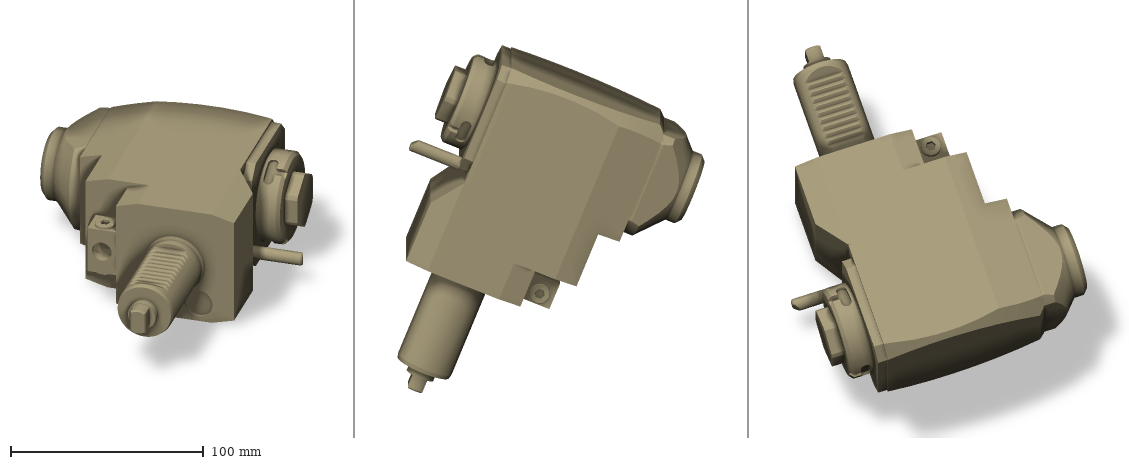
import cadquery as cq
import math


half_height = 32.0
taper_angle = 15
taper_run = 12.0
lower_half_width = 32.0
lower_block_y = 21.0
middle_left = -55.0
middle_bottom_y = 50.8
upper_left = -67.0
upper_right = 19.8
housing_top = 115.0
corner_chamfer = 3.5
shoulder_y = 33.5
relief_width = 2.4
relief_depth = 0.2
crown_x = -13.1
crown_radius = 127.4
crown_y = 112.3
plug_recess_radius = 7.6
plug_recess_depth = 1.8
plug_recess_x, plug_recess_z = 12.7, -21.7

spindle_y = 85.0
cap_left = -94.0
cap_radius = 19.3
cap_face_radius = 16.5
cap_chamfer_length = 2.5
cap_shoulder = -86.3
cone_end = -73.3
knob_radius = 33.3
knob_top = 111.2
knob_half_height = 25.1
flange_right = 25.0
flange_half_width = 29.5
flange_half_height = 30.4
flange_chamfer = 7.0
nut_left = 25.8
nut_right = 38.0
nut_radius = 24.5
nut_chamfer = 1.8
nut_neck_radius = 23.0
nut_pockets = 3
pocket_x = 29.8
pocket_width = 5.5
pocket_length = 15.3
pocket_depth = 3.0
slit_width = 4.0
hex_right = 44.8
hex_flats = 27.7
hex_corner_radius = 15.3

pin_y, pin_z = 56.6, -19.0
pin_radius = 3.5
pin_neck_radius = 2.7
pin_right = 52.5
pin_chamfer = 0.7
pin_bevel = 3.5

block_left = -47.9
block_bottom, block_top = 1.1, 15.8
block_half_height = 12.7
port_x = -40.0
screw_y = 7.1
screw_radius = 5.3
screw_height = 1.6
screw_chamfer = 0.4
socket_size = 5.5
socket_depth = 2.7
side_port_radius = 4.7
front_port_radius = 5.3
front_port_depth = 12.4
side_bore_radius = 1.1
side_bore_depth = 14.5

shank_diameter = 30.0
shank_radius = shank_diameter / 2
shank_end = -55.0
shank_chamfer = 2.2
shank_chamfer_depth = 0.5
collar_radius = 16.0
collar_length = 1.1
collar_taper_end = 2.2
neck_radius = 7.5
neck_end = -59.5
tang_end = -67.0
tang_thickness = 8.2
tang_radius = 7.1
tang_chamfer = 0.7
rack_start = -7.1
rack_height = 12.2
tooth_depth = 1.6
tooth_pitch = 4.0
tooth_count = 10
first_valley = -11.5


def taper_drop(run):
    return run * math.tan(math.radians(taper_angle))


def cylinder_x(x_start, x_end, radius, y, z):
    return cq.Workplane("YZ", origin=(x_start, y, z)).circle(radius).extrude(x_end - x_start)


def box_between(x_range, y_range, z_range):
    ranges = (x_range, y_range, z_range)
    sizes = [end - start for start, end in ranges]
    corner = tuple(start for start, end in ranges)
    return cq.Workplane("XY").box(*sizes, centered=False).translate(corner)


def flanked_bar(left, left_break, right_break, right, y_start, y_end):
    """Bar along Y, full height between the breaks and tapered outside them."""
    left_z = half_height - taper_drop(left_break - left)
    right_z = half_height - taper_drop(right - right_break)
    outline = [
        (left, left_z), (left_break, half_height), (right_break, half_height), (right, right_z),
        (right, -right_z), (right_break, -half_height), (left_break, -half_height), (left, -left_z),
    ]
    return cq.Workplane("XZ", origin=(0, y_start, 0)).polyline(outline).close().extrude(y_start - y_end)


def crown_cone():
    """45 degree cone along Y that bevels the top edge of the +Z face along an arc."""
    base_radius = crown_radius + crown_y
    tip_radius = crown_radius + crown_y - housing_top
    cone = (
        cq.Workplane("XY")
        .polyline([(0, 0), (base_radius, 0), (tip_radius, housing_top), (0, housing_top)])
        .close()
        .revolve(360, (0, 0, 0), (0, 1, 0))
    )
    return cone.translate((crown_x, 0, half_height - crown_radius))


def housing():
    break_x = lower_half_width - taper_run
    upper_break = middle_left + taper_run
    upper_plan = [
        (middle_left, lower_block_y), (lower_half_width, lower_block_y),
        (lower_half_width, shoulder_y), (upper_right, middle_bottom_y),
        (upper_right, housing_top), (upper_left + corner_chamfer, housing_top),
        (upper_left, housing_top - corner_chamfer), (upper_left, middle_bottom_y),
        (middle_left, middle_bottom_y),
    ]
    plan = cq.Workplane("XY").polyline(upper_plan).close().extrude(half_height, both=True)
    upper = flanked_bar(upper_left, upper_break, break_x, lower_half_width, lower_block_y, housing_top)
    cone = crown_cone()
    upper = upper.intersect(plan).intersect(cone).intersect(cone.mirror("XY"))
    relief = (
        cq.Workplane("XZ", origin=(0, middle_bottom_y, 0))
        .polyline([
            (upper_right - relief_width, half_height), (upper_right, half_height - relief_depth),
            (upper_right, half_height),
        ])
        .close()
        .extrude(middle_bottom_y - housing_top)
    )
    upper = upper.cut(relief).cut(relief.mirror("XY"))
    lower = flanked_bar(-lower_half_width, -break_x, break_x, lower_half_width, 0, lower_block_y)
    recess = (
        cq.Workplane("XZ", origin=(plug_recess_x, 0, plug_recess_z))
        .circle(plug_recess_radius)
        .extrude(-plug_recess_depth)
    )
    return upper.union(lower).cut(recess)


def rear_knob():
    """Turned cap and cone, trimmed by the continued housing flanks."""
    knob = (
        cq.Workplane("XY")
        .polyline([
            (cap_shoulder, 0), (cap_shoulder, cap_radius), (cone_end, knob_radius),
            (upper_left, knob_radius), (upper_left, 0),
        ])
        .close()
        .revolve(360, (0, 0, 0), (1, 0, 0))
        .translate((0, spindle_y, 0))
    )
    flanks = flanked_bar(
        cap_shoulder, middle_left + taper_run, 0, taper_run, spindle_y - knob_radius, knob_top
    )
    flat = box_between(
        (cap_shoulder, upper_left), (spindle_y - knob_radius, knob_top), (-knob_half_height, knob_half_height)
    )
    cap = (
        cylinder_x(cap_left, cap_shoulder, cap_radius, spindle_y, 0)
        .faces("<X").chamfer(cap_chamfer_length, cap_radius - cap_face_radius)
    )
    return knob.intersect(flanks).intersect(flat).union(cap)


def spindle_nose():
    flange = (
        cq.Workplane("YZ", origin=(upper_right, spindle_y, 0))
        .rect(2 * flange_half_width, 2 * flange_half_height)
        .extrude(flange_right - upper_right)
        .edges("|X").chamfer(flange_chamfer)
    )
    neck = cylinder_x(flange_right, nut_left, nut_neck_radius, spindle_y, 0)
    nut = cylinder_x(nut_left, nut_right, nut_radius, spindle_y, 0).faces(">X").edges().chamfer(nut_chamfer)
    pocket_floor = nut_radius - pocket_depth
    pocket = (
        cq.Workplane("XZ", origin=(pocket_x, spindle_y + pocket_floor, 0))
        .slot2D(pocket_length, pocket_width, 90)
        .extrude(-nut_radius)
    )
    slit = box_between(
        (pocket_x, nut_right), (pocket_floor, nut_radius), (-slit_width / 2, slit_width / 2)
    ).translate((0, spindle_y, 0))
    for index in range(nut_pockets):
        angle = index * 360 / nut_pockets
        nut = nut.cut(pocket.union(slit).rotate((0, spindle_y, 0), (1, spindle_y, 0), angle))
    hexagon = (
        cq.Workplane("YZ", origin=(nut_right, spindle_y, 0))
        .polygon(6, hex_flats, circumscribed=True)
        .extrude(hex_right - nut_right)
        .intersect(cylinder_x(nut_right, hex_right, hex_corner_radius, spindle_y, 0))
    )
    return flange.union(neck).union(nut).union(hexagon)


def locating_pin():
    neck = cylinder_x(upper_right, flange_right, pin_neck_radius, pin_y, pin_z)
    pin = cylinder_x(flange_right, pin_right, pin_radius, pin_y, pin_z).faces(">X").chamfer(pin_chamfer)
    bevel = (
        cq.Workplane("XY", origin=(pin_right, pin_y + pin_radius, pin_z))
        .polyline([(-pin_bevel, 0), (0, -pin_bevel), (0, 0)])
        .close()
        .extrude(pin_radius, both=True)
    )
    return neck.union(pin.cut(bevel))


def coolant_block():
    port_y = (block_bottom + block_top) / 2
    block = box_between(
        (block_left, -lower_half_width), (block_bottom, block_top), (-block_half_height, block_half_height)
    )
    screw = (
        cq.Workplane("XY", origin=(port_x, screw_y, block_half_height))
        .circle(screw_radius)
        .extrude(screw_height)
        .faces(">Z").chamfer(screw_chamfer)
    )
    socket = (
        cq.Workplane("XY", origin=(port_x, screw_y, block_half_height + screw_height))
        .polygon(6, socket_size)
        .extrude(-socket_depth)
    )
    block = block.union(screw).union(screw.mirror("XY")).cut(socket).cut(socket.mirror("XY"))
    front_port = (
        cq.Workplane("XZ", origin=(port_x, block_bottom, 0))
        .circle(front_port_radius)
        .extrude(-front_port_depth)
    )
    side_port = cylinder_x(block_left, port_x + front_port_radius, side_port_radius, port_y, 0)
    side_bore = cylinder_x(block_left, block_left + side_bore_depth, side_bore_radius, port_y, 0)
    return block.cut(front_port).cut(side_port).cut(side_bore)


def shank():
    chamfered_radius = shank_radius - shank_chamfer_depth
    body = (
        cq.Workplane("XY")
        .polyline([
            (0, 0), (collar_radius, 0), (collar_radius, -collar_length),
            (shank_radius, -collar_taper_end), (shank_radius, shank_end + shank_chamfer),
            (chamfered_radius, shank_end), (neck_radius, shank_end),
            (neck_radius, neck_end), (0, neck_end),
        ])
        .close()
        .revolve(360, (0, 0, 0), (0, 1, 0))
    )
    half_tang = tang_thickness / 2
    flats = (
        box_between((-half_tang, half_tang), (tang_end, neck_end), (-tang_radius, tang_radius))
        .faces("<Y").edges("|Z").chamfer(tang_chamfer)
    )
    tang = (
        cq.Workplane("XZ", origin=(0, neck_end, 0))
        .circle(tang_radius)
        .extrude(neck_end - tang_end)
        .faces("<Y").chamfer(tang_chamfer)
        .intersect(flats)
    )
    return body.cut(rack_cutter()).union(tang)


def rack_cutter():
    """Clearance above the clamping teeth, with 45 degree V valleys and a 45 degree run-out."""
    valley_z = rack_height - tooth_depth
    outline = [(rack_start, shank_radius), (rack_start, rack_height)]
    for index in range(tooth_count):
        valley = first_valley - index * tooth_pitch
        outline.append((valley + tooth_depth, rack_height))
        outline.append((valley, valley_z))
        outline.append((valley - tooth_depth, rack_height))
    outline.append((valley - (shank_radius - valley_z), shank_radius))
    return cq.Workplane("YZ").polyline(outline).close().extrude(shank_radius, both=True)


result = housing()
for feature in (rear_knob(), spindle_nose(), locating_pin(), coolant_block(), shank()):
    result = result.union(feature)